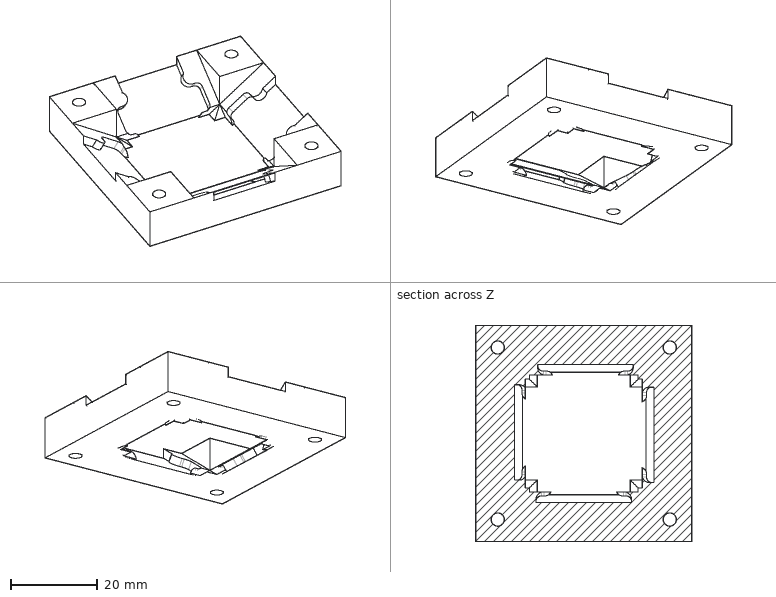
import cadquery as cq
import math

side = 50.0
height = 10.0
corner_block = 11.5
slope_angle = 35.0

hole_diameter = 3.0
hole_edge_distance = 5.1

neck_half_width = 8.0
head_half_width = 11.0
head_start = 7.25
head_end = 14.25
lobe_radius = 1.75
lobe_reach = 0.6
head_corner_radius = 1.25
pocket_depth = 1.95
buried_skin = 0.15
clearance = 2.5

open_pockets = [
    (0, 0.0, 0.0),
    (-90, -0.25, 0.2),
    (180, -0.4, 0.0),
]
buried_pocket = (90, -0.3, 0.0)

half_side = side / 2
slope = math.radians(slope_angle)
foot_width = height / math.tan(slope)


def square_pattern(spacing):
    """Workplane at the underside with the four corners of a centred square selected."""
    return cq.Workplane("XY").rect(spacing, spacing, forConstruction=True).vertices()


def bar_prism(profile, turn):
    """Full-length prism of (distance from the outer face, height) points, turned from the front bar."""
    return (
        cq.Workplane("YZ")
        .polyline(profile)
        .close()
        .extrude(half_side, both=True)
        .translate((0, -half_side, 0))
        .rotate((0, 0, 0), (0, 0, 1), turn)
    )


def make_frame():
    """Square of upright corner blocks and sloped bars, with a pyramid foot in each inner corner."""
    bar_edge_height = height - corner_block * math.tan(slope)
    bar_profile = [(0, 0), (corner_block, 0), (corner_block, bar_edge_height), (0, height)]
    wedge_profile = [(0, 0), (foot_width, 0), (0, height)]
    frame = square_pattern(side - corner_block).rect(corner_block, corner_block).extrude(height)
    for turn in [0, 90, 180, 270]:
        foot = bar_prism(wedge_profile, turn).intersect(bar_prism(wedge_profile, turn + 90))
        frame = frame.union(bar_prism(bar_profile, turn)).union(foot)
    return frame


def pocket_tool(placement, top, floor):
    """Plate between two depths under a slope: a neck at each end of a wider head, with round lobes between."""
    turn, sideways, down_slope = placement
    tip_x = neck_half_width - lobe_reach
    lobe_x = tip_x + lobe_radius
    corner_x = head_half_width - head_corner_radius
    crease = math.sqrt(lobe_radius**2 - (lobe_radius - lobe_reach) ** 2)
    near_lobe = head_start - lobe_radius
    far_lobe = head_end + lobe_radius
    near_end = -head_start
    far_end = head_end + 2 * head_start
    plane = cq.Plane(
        origin=(0, -half_side, height),
        xDir=(1, 0, 0),
        normal=(0, math.sin(slope), math.cos(slope)),
    )
    tool = (
        cq.Workplane(plane)
        .workplane(offset=-floor)
        .center(sideways, down_slope)
        .moveTo(0, near_end)
        .lineTo(neck_half_width, near_end)
        .lineTo(neck_half_width, near_lobe - crease)
        .threePointArc((tip_x, near_lobe), (lobe_x, head_start))
        .lineTo(corner_x, head_start)
        .radiusArc((head_half_width, head_start + head_corner_radius), -head_corner_radius)
        .lineTo(head_half_width, head_end - head_corner_radius)
        .radiusArc((corner_x, head_end), -head_corner_radius)
        .lineTo(lobe_x, head_end)
        .threePointArc((tip_x, far_lobe), (neck_half_width, far_lobe + crease))
        .lineTo(neck_half_width, far_end)
        .lineTo(0, far_end)
        .mirrorY()
        .extrude(floor - top)
    )
    return tool.rotate((0, 0, 0), (0, 0, 1), turn)


result = make_frame()

for placement in open_pockets:
    result = result.cut(pocket_tool(placement, -clearance, pocket_depth))
result = result.cut(pocket_tool(buried_pocket, buried_skin, buried_skin + pocket_depth))

holes = square_pattern(side - 2 * hole_edge_distance).circle(hole_diameter / 2).extrude(height)
result = result.cut(holes)